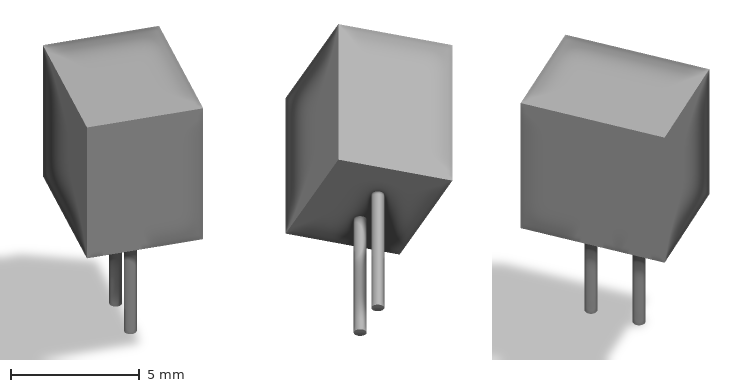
import cadquery as cq

total_height = 11.2
housing_length = 6.0
housing_width = 4.7

lead_length = 5.1
lead_diameter = 0.5
lead_pitch = 2.0

housing_height = total_height - lead_length


def make_housing():
    """Plain rectangular block standing on the plane Z = 0."""
    return cq.Workplane("XY").box(
        housing_length, housing_width, housing_height, centered=(True, True, False)
    )


def make_lead(x):
    """Round lead hanging from the underside of the housing."""
    return cq.Workplane("XY").center(x, 0).circle(lead_diameter / 2).extrude(-lead_length)


housing = make_housing()
leads = [make_lead(side * lead_pitch / 2) for side in (-1, 1)]

result = cq.Compound.makeCompound([housing.val(), *[lead.val() for lead in leads]])